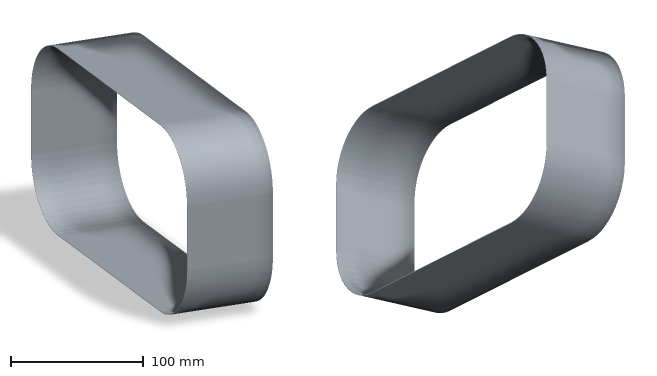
import cadquery as cq

length = 285.0
depth = 71.0
height = 150.0

corner_radius = 49.0
wall = 0.5


def rounded_block(inset):
    """Block with rounded corners, its outline moved inward by the inset."""
    return (
        cq.Workplane("XZ")
        .rect(length - 2 * inset, height - 2 * inset)
        .extrude(depth / 2, both=True)
        .edges("|Y")
        .fillet(corner_radius - inset)
    )


result = rounded_block(0).cut(rounded_block(wall))